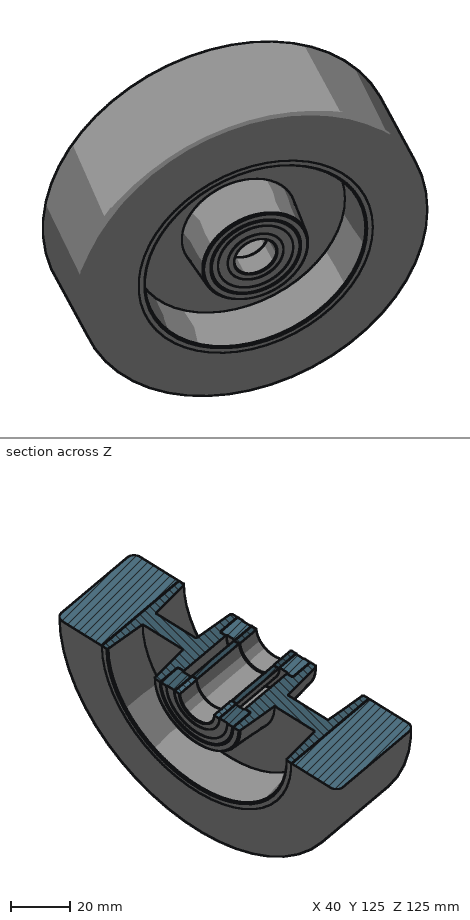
import cadquery as cq
import math


wheel_width = 40.0
tyre_radius = 62.5
tyre_bore_radius = 42.0
tyre_edge_fillet = 3.0

rim_mouth_radius = 39.5
boss_end_radius = 19.0
web_thickness = 7.0
draft_angle = 5.0
hub_edge_chamfer = 0.5
hub_middle_bore_radius = 13.5

bearing_outer_radius = 16.0
bearing_bore_radius = 7.5
bearing_width = 9.0
bearing_chamfer = 0.3
inner_ring_radius = 10.0
seal_outer_radius = 13.5
seal_recess = 0.2

spacer_bore_radius = 7.6

half_width = wheel_width / 2
half_web = web_thickness / 2
bearing_inner_face = half_width - bearing_width
bearing_centre = half_width - bearing_width / 2
spacer_length = 2 * bearing_inner_face


def ring(length, outer_radius, inner_radius, centre=0.0):
    """Plain ring about the X axis, centred at the given X."""
    return (
        cq.Workplane("YZ", origin=(centre - length / 2, 0, 0))
        .circle(outer_radius)
        .circle(inner_radius)
        .extrude(length)
    )


def make_tyre():
    """Solid tread with both outer edges rounded."""
    blank = cq.Workplane("YZ", origin=(-half_width, 0, 0)).circle(tyre_radius).extrude(wheel_width)
    rounded = blank.edges().fillet(tyre_edge_fillet)
    bore = cq.Workplane("YZ", origin=(-half_width, 0, 0)).circle(tyre_bore_radius).extrude(wheel_width)
    return rounded.cut(bore)


def make_side_recess():
    """Drafted annular recess between rim and boss on the -X side, with chamfered mouth edges."""
    chamfer_depth = half_width - hub_edge_chamfer
    draft = (chamfer_depth - half_web) * math.tan(math.radians(draft_angle))
    profile = [
        (-half_width, rim_mouth_radius + hub_edge_chamfer),
        (-chamfer_depth, rim_mouth_radius),
        (-half_web, rim_mouth_radius - draft),
        (-half_web, boss_end_radius + draft),
        (-chamfer_depth, boss_end_radius),
        (-half_width, boss_end_radius - hub_edge_chamfer),
    ]
    return cq.Workplane("XY").polyline(profile).close().revolve(360, (0, 0, 0), (1, 0, 0))


def make_bearing_seat():
    """Bearing pocket at the -X end of the boss, with a lead-in chamfer."""
    mouth_radius = bearing_outer_radius + bearing_chamfer
    profile = [
        (-half_width, 0),
        (-half_width, mouth_radius),
        (-half_width + bearing_chamfer, bearing_outer_radius),
        (-bearing_inner_face, bearing_outer_radius),
        (-bearing_inner_face, 0),
    ]
    return cq.Workplane("XY").polyline(profile).close().revolve(360, (0, 0, 0), (1, 0, 0))


def make_hub():
    """Rim, web and boss, recessed and bored the same way from both sides."""
    hub = ring(wheel_width, tyre_bore_radius, hub_middle_bore_radius)
    for side_cut in (make_side_recess(), make_bearing_seat()):
        hub = hub.cut(side_cut).cut(side_cut.mirror("YZ"))
    return hub


def make_spacer():
    """Tube that keeps the two inner rings apart."""
    return ring(spacer_length, inner_ring_radius, spacer_bore_radius)


def make_inner_ring(centre):
    """Inner bearing ring with both bore edges chamfered."""
    plain = ring(bearing_width, inner_ring_radius, bearing_bore_radius, centre)
    return plain.edges(cq.selectors.RadiusNthSelector(0)).chamfer(bearing_chamfer)


def make_outer_ring(centre):
    """Outer bearing ring with its seals, which sit slightly below both faces."""
    rim = ring(bearing_width, bearing_outer_radius, seal_outer_radius, centre)
    rim = rim.edges(cq.selectors.RadiusNthSelector(-1)).chamfer(bearing_chamfer)
    seal = ring(bearing_width - 2 * seal_recess, seal_outer_radius, inner_ring_radius, centre)
    return rim.union(seal)


tyre = make_tyre()
hub = make_hub()
spacer = make_spacer()

bearing_rings = []
for bearing_x in (-bearing_centre, bearing_centre):
    bearing_rings.append(make_inner_ring(bearing_x).val())
    bearing_rings.append(make_outer_ring(bearing_x).val())

result = cq.Compound.makeCompound([tyre.val(), hub.val(), spacer.val(), *bearing_rings])